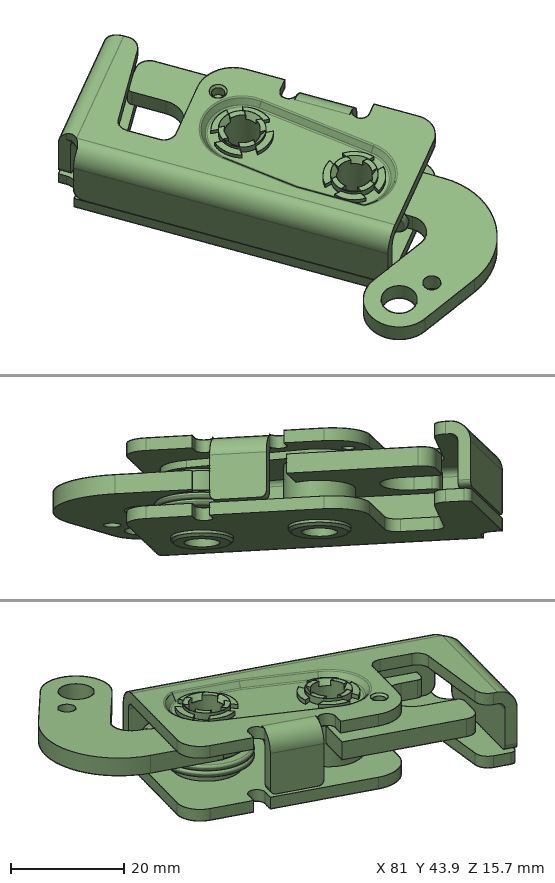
import cadquery as cq
import math

sheet = 2.3
bend_radius = 3.75
body_length = 63.4
body_width = 28.71

head_height = 1.02
base_top = head_height + sheet
cover_top = 15.67
cover_bottom = 3.77
cover_underside = cover_top - sheet
lever_bottom = 7.91
lever_thickness = 3.49
recess_depth = 1.35
recess_floor = cover_top - recess_depth
recess_underside = recess_floor - sheet

relief_x = 4.5
relief_y = 4.67
relief_radius = 3.0
front_wall_corner = 2.1
left_wall_corner = 1.1
back_right_corner = 4.4

base_front = 0.25
base_front_right_corner = 1.0
base_back_left_corner = 1.2

mouth_bottom = 8.4
mouth_right = 19.94
mouth_left_at_back = 6.8
mouth_left_at_bottom = 9.5
mouth_bottom_corner = 2.3
mouth_left_lip = 2.6
mouth_right_lip = 6.7

slot_width = 3.2
slot_depth = 3.95
left_slot_x = 35.5
right_slot_x = 49.0

pivot_left = (30.6, 15.52)
pivot_right = (52.7, 12.43)
petal_turns = {pivot_left: -11.0, pivot_right: 11.0}
bore_diameter = 6.35
neck_diameter = 8.42
petal_diameter = 11.11
head_diameter = 11.11
spacer_diameter = 12.7
head_chamfer = 0.5
petal_gap = 2.8
petal_height = 0.8

recess_rim_radius = 7.4
recess_wall_run = 1.0
recess_rim_round = 0.4
recess_floor_round = 0.4
selection_margin = 0.1
recess_flat = 6.2

pin_hole = (23.72, 22.25)
pin_hole_rim_diameter = 3.17
pin_hole_diameter = 2.34

pawl_left = 7.0
pawl_lower_left = 10.2
pawl_right = 33.5
pawl_front = 7.5
pawl_back = 28.4
pawl_tip_radius = 2.6
pawl_corner = 1.2
pawl_slot_radius = 4.91
pawl_slot_centre = (14.6, 15.5)

lever_end = (68.65, -8.84)
lever_end_radius = 6.35
lever_hole_diameter = 6.35
lever_pin_offset = (4.15, 5.53)
lever_pin_diameter = 3.17
lever_right = 80.95
lever_back = 20.1
lever_hub_radius = 7.2
lever_outer_radius = 14.25
lever_inner_radius = 3.7
lever_inner_centre = (64.5, 6.19)

wire_diameter = 1.12
spring_turns = 2
spring_bottom = 4.95
spring_pitch = 1.22
spring_diameter = 16.9
wire_round = 0.5
hook_diameter = 4.83
hook_right = 63.85
hook_front = 8.65
hook_back = 10.3


def prism(outline, bottom, top):
    return outline.extrude(top - bottom).translate((0, 0, bottom))


def block(x0, x1, y0, y1, z0, z1):
    return cq.Workplane("XY").box(x1 - x0, y1 - y0, z1 - z0, centered=False).translate((x0, y0, z0))


def disc(centre, diameter, bottom, top):
    return prism(cq.Workplane("XY").center(*centre).circle(diameter / 2), bottom, top)


def countersink(centre, rim_diameter, hole_diameter):
    """45 degree cone that opens at the cover's top face."""
    return (
        cq.Workplane("XY", origin=(*centre, cover_top))
        .circle(rim_diameter / 2)
        .workplane(offset=-(rim_diameter - hole_diameter) / 2)
        .circle(hole_diameter / 2)
        .loft()
    )


def polar(centre, radius, angle):
    return (centre[0] + radius * math.cos(angle), centre[1] + radius * math.sin(angle))


def direction(start, end):
    return math.atan2(end[1] - start[1], end[0] - start[0])


def corner_relief():
    """Notch through the front-left corner, rounded on the inside."""
    cutter = block(-relief_x, relief_x, -relief_y, relief_y, 0, cover_top)
    return cutter.edges("|Z and >X and >Y").fillet(relief_radius)


def mouth():
    """Opening from the back edge, with a slanted left side and a rounded bottom."""
    outline = (
        cq.Workplane("XY")
        .moveTo(mouth_left_at_back, body_width)
        .lineTo(mouth_left_at_bottom, mouth_bottom)
        .lineTo(mouth_right, mouth_bottom)
        .lineTo(mouth_right, body_width)
        .close()
    )
    return prism(outline, 0, cover_top).edges("|Z and <Y").fillet(mouth_bottom_corner)


def back_slot(x):
    """Relief slot with a round end, open at the back edge."""
    radius = slot_width / 2
    end = body_width - slot_depth + radius
    straight = block(x - radius, x + radius, end, body_width, 0, cover_top)
    return straight.union(disc((x, end), slot_width, 0, cover_top))


def flat_sheet(left, front, bottom, top):
    """Sheet with a round back-right corner and the mouth cut out, its two lips rounded."""
    plate = block(left, body_length, front, body_width, bottom, top)
    plate = plate.edges("|Z and >X and >Y").fillet(back_right_corner)
    plate = plate.cut(mouth())
    middle = (bottom + top) / 2
    for x, radius in ((mouth_left_at_back, mouth_left_lip), (mouth_right, mouth_right_lip)):
        plate = plate.edges(cq.NearestToPointSelector((x, body_width, middle))).fillet(radius)
    return plate


def bent_wall(length, corner_radius):
    """Wall along +Y from the origin, bent down from the top sheet, with its outside at X = 0."""
    inner_radius = bend_radius - sheet
    bend_z = cover_top - bend_radius
    diagonal = 0.75 * math.pi
    centre = (bend_radius, bend_z)
    wall = (
        cq.Workplane("XZ")
        .moveTo(0, cover_bottom)
        .lineTo(0, bend_z)
        .threePointArc(polar(centre, bend_radius, diagonal), (bend_radius, cover_top))
        .lineTo(bend_radius, cover_underside)
        .threePointArc(polar(centre, inner_radius, diagonal), (sheet, bend_z))
        .lineTo(sheet, cover_bottom)
        .close()
        .extrude(-length)
    )
    return wall.edges("|X and <Z").fillet(corner_radius)


def turned_wall(length, corner_radius, angle, x, y):
    """Bent wall turned about Z and moved to its place."""
    wall = bent_wall(length, corner_radius)
    return wall.rotate((0, 0, 0), (0, 0, 1), angle).translate((x, y, 0))


def bend_end(length, angle, x):
    """Short stretch of bend above a wall, which leaves the relief its round corner."""
    level = block(0, relief_x, 0, relief_y, cover_underside, cover_top)
    return turned_wall(length, left_wall_corner, angle, x, 0).intersect(level)


def recess_outline():
    """Belt around both bushings, cut straight beside the front bend."""
    radius = recess_rim_radius
    along = direction(pivot_left, pivot_right)
    side = along + math.pi / 2
    lower_left = polar(pivot_left, -radius, side)
    flat_start_x = lower_left[0] + (recess_flat - lower_left[1]) / math.tan(along)
    drop = pivot_right[1] - recess_flat
    flat_end_x = pivot_right[0] + math.sqrt(radius**2 - drop**2)
    return (
        cq.Workplane("XY")
        .moveTo(*polar(pivot_left, radius, side))
        .threePointArc(polar(pivot_left, -radius, along), lower_left)
        .lineTo(flat_start_x, recess_flat)
        .lineTo(flat_end_x, recess_flat)
        .threePointArc(polar(pivot_right, radius, along), polar(pivot_right, radius, side))
        .close()
    )


def recess():
    """Tool for the recess, with sloping walls and a rounded edge around the floor."""
    lean = math.degrees(math.atan2(recess_wall_run, recess_depth))
    cutter = recess_outline().extrude(-recess_depth, taper=lean)
    cutter = cutter.faces("<Z").edges().fillet(recess_floor_round)
    return cutter.translate((0, 0, cover_top))


def recess_rim():
    """Selects the edges where the recess meets the cover's top face."""
    reach = recess_rim_radius + selection_margin
    low = (pivot_left[0] - reach, recess_flat - selection_margin, cover_top - selection_margin)
    high = (pivot_right[0] + reach, pivot_left[1] + reach, cover_top + selection_margin)
    return cq.selectors.BoxSelector(low, high)


def pin_hole_cutter():
    """Hole through the cover with a 45 degree countersink."""
    hole = disc(pin_hole, pin_hole_diameter, cover_underside, cover_top)
    return hole.union(countersink(pin_hole, pin_hole_rim_diameter, pin_hole_diameter))


def cover():
    """Formed sheet with a left wall, a front wall, a back tab and a pressed recess."""
    top = flat_sheet(bend_radius, bend_radius, cover_underside, cover_top)
    tab_left = left_slot_x + slot_width / 2
    tab_right = right_slot_x - slot_width / 2
    tab_front = body_width - slot_depth
    top = top.cut(block(tab_left, tab_right, tab_front, body_width, 0, cover_top))
    top = top.cut(back_slot(left_slot_x)).cut(back_slot(right_slot_x))
    tab_bend = body_width - bend_radius
    top = top.union(block(tab_left, tab_right, tab_front, tab_bend, cover_underside, cover_top))
    left_wall = turned_wall(body_width - relief_y, left_wall_corner, 0, 0, relief_y)
    left_wall = left_wall.union(bend_end(relief_y, 0, 0))
    front_wall = turned_wall(body_length - relief_x, front_wall_corner, 90, body_length, 0)
    front_wall = front_wall.union(bend_end(relief_x, 90, relief_x))
    tab = turned_wall(tab_right - tab_left, left_wall_corner, -90, tab_left, body_width)
    formed = top.union(left_wall).union(front_wall).union(tab)
    formed = formed.union(prism(recess_outline(), recess_underside, cover_underside))
    formed = formed.cut(recess()).edges(recess_rim()).fillet(recess_rim_round)
    return formed.cut(corner_relief()).cut(pin_hole_cutter())


def base_plate():
    """Flat sheet under the cover, with the same mouth and corner relief."""
    plate = flat_sheet(0, base_front, head_height, base_top)
    plate = plate.edges("|Z and >X and <Y").fillet(base_front_right_corner)
    plate = plate.edges("|Z and <X and >Y").fillet(base_back_left_corner)
    return plate.cut(corner_relief()).cut(back_slot(right_slot_x))


def bushing(pivot):
    """Spacer between the sheets, a head under the base and four petals spread over the recess floor."""
    head = disc(pivot, head_diameter, 0, head_height).faces("<Z").chamfer(head_chamfer)
    spacer = disc(pivot, spacer_diameter, base_top, recess_underside)
    petals = disc(pivot, petal_diameter, recess_floor, recess_floor + petal_height)
    flare = countersink(pivot, neck_diameter, bore_diameter)
    neck = disc(pivot, neck_diameter, head_height, cover_top)
    gaps = petal_gaps(pivot)
    staked_end = neck.union(petals.cut(gaps)).cut(flare.cut(gaps))
    return head.union(spacer).union(staked_end)


def petal_gaps(pivot):
    """Two crossed bars, halfway between the petals."""
    bar = block(-petal_diameter, petal_diameter, -petal_gap / 2, petal_gap / 2, recess_floor, cover_top)
    bars = bar.union(bar.rotate((0, 0, 0), (0, 0, 1), 90))
    turn = petal_turns[pivot] + 45
    return bars.rotate((0, 0, 0), (0, 0, 1), turn).translate((*pivot, 0))


def pawl():
    """Two-armed pawl whose round slot holds the latched bolt."""
    top = lever_bottom + lever_thickness
    slot_x, slot_y = pawl_slot_centre
    slot_front = slot_y - pawl_slot_radius
    slot_back = slot_y + pawl_slot_radius
    plate = block(pawl_left, pawl_right, pawl_front, pawl_back, lever_bottom, top)
    plate = plate.cut(block(pawl_left, pawl_lower_left, pawl_front, slot_back, lever_bottom, top))
    plate = plate.cut(block(pawl_left, slot_x, slot_front, slot_back, lever_bottom, top))
    plate = plate.cut(disc(pawl_slot_centre, 2 * pawl_slot_radius, lever_bottom, top))
    plate = plate.edges("|Z and <X and >Y").fillet(pawl_tip_radius)
    middle = (lever_bottom + top) / 2
    for corner in ((pawl_left, slot_back), (pawl_lower_left, slot_front)):
        plate = plate.edges(cq.NearestToPointSelector((*corner, middle))).fillet(pawl_corner)
    return plate


def lever():
    """Hooked lever around the right bushing, bent forward outside the body."""
    outer_centre = (lever_right - lever_outer_radius, lever_back - lever_outer_radius)
    outer_distance = math.dist(lever_end, outer_centre)
    outer_lean = math.asin((lever_outer_radius - lever_end_radius) / outer_distance)
    outer_normal = direction(lever_end, outer_centre) - outer_lean - math.pi / 2
    inner_distance = math.dist(lever_end, lever_inner_centre)
    inner_lean = math.acos((lever_inner_radius + lever_end_radius) / inner_distance)
    inner_normal = direction(lever_end, lever_inner_centre) + inner_lean
    inner_back = lever_inner_centre[1] + lever_inner_radius
    eighth_turn = math.pi / 4
    outline = (
        cq.Workplane("XY")
        .moveTo(pivot_right[0], lever_back)
        .lineTo(outer_centre[0], lever_back)
        .threePointArc(
            polar(outer_centre, lever_outer_radius, eighth_turn),
            polar(outer_centre, lever_outer_radius, outer_normal),
        )
        .lineTo(*polar(lever_end, lever_end_radius, outer_normal))
        .threePointArc(
            polar(lever_end, lever_end_radius, -math.pi / 2),
            polar(lever_end, lever_end_radius, inner_normal),
        )
        .lineTo(*polar(lever_inner_centre, -lever_inner_radius, inner_normal))
        .threePointArc(
            polar(lever_inner_centre, lever_inner_radius, eighth_turn),
            (lever_inner_centre[0], inner_back),
        )
        .lineTo(pivot_right[0], inner_back)
        .close()
    )
    top = lever_bottom + lever_thickness
    hub = disc(pivot_right, 2 * lever_hub_radius, lever_bottom, top)
    arm = prism(outline, lever_bottom, top).union(hub)
    pin_centre = (lever_end[0] + lever_pin_offset[0], lever_end[1] + lever_pin_offset[1])
    arm = arm.cut(disc(lever_end, lever_hole_diameter, lever_bottom, top))
    return arm.cut(disc(pin_centre, lever_pin_diameter, lever_bottom, top))


def spring():
    """Stacked coils that close onto the right spacer, and a hook around the lever."""
    coils = disc(pivot_right, spacer_diameter, spring_bottom, lever_bottom)
    for turn in range(spring_turns):
        bottom = spring_bottom + turn * spring_pitch
        coil = disc(pivot_right, spring_diameter, bottom, bottom + wire_diameter)
        coils = coils.union(coil.edges(">Z or <Z").fillet(wire_round))
    hook_x = hook_right - hook_diameter / 2
    hook_z = lever_bottom + lever_thickness / 2
    hook = (
        cq.Workplane("XZ", origin=(hook_x, hook_back, hook_z))
        .circle(hook_diameter / 2)
        .extrude(hook_back - hook_front)
        .edges()
        .fillet(wire_round)
    )
    return coils.union(hook)


result = cover().union(base_plate()).union(pawl()).union(lever()).union(spring())
for pivot in petal_turns:
    result = result.union(bushing(pivot))
for pivot in petal_turns:
    result = result.cut(disc(pivot, bore_diameter, 0, cover_top))